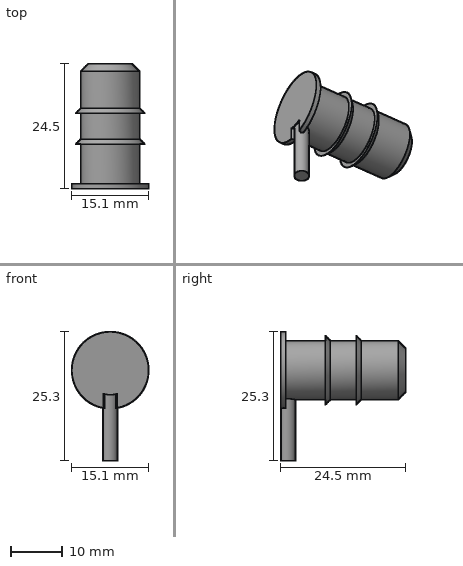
import cadquery as cq

total_length = 24.5
body_radius = 11.6 / 2
tip_chamfer = 1.5

flange_radius = 15.1 / 2
flange_thickness = 1.0

ridge_height = 0.99
ridge_starts = (8.75, 14.78)

pin_radius = 2.9 / 2
pin_axis_y = 1.5
overall_height = 25.3
pin_bottom_z = flange_radius - overall_height

groove_radius = pin_radius
groove_axis_y = -0.38
core_radius = 4.8


def cylinder_along_y(radius, length):
    return cq.Workplane("XZ").circle(radius).extrude(-length)


def vertical_rod(radius, axis_y):
    """Rod from the pin's lower end up to the curved surface of the core."""
    rod = (
        cq.Workplane("XY", origin=(0, axis_y, pin_bottom_z))
        .circle(radius)
        .extrude(-pin_bottom_z)
    )
    core = cq.Workplane("XZ").circle(core_radius).extrude(total_length, both=True)
    return rod.cut(core)


def make_ridge(start_y):
    profile = [
        (0, start_y),
        (body_radius + ridge_height, start_y),
        (body_radius, start_y + ridge_height),
        (0, start_y + ridge_height),
    ]
    return cq.Workplane("XY").polyline(profile).close().revolve(360, (0, 0), (0, 1))


body = cylinder_along_y(body_radius, total_length).faces(">Y").chamfer(tip_chamfer)
plug = body.union(cylinder_along_y(flange_radius, flange_thickness))
for ridge_start in ridge_starts:
    plug = plug.union(make_ridge(ridge_start))

plug = plug.cut(vertical_rod(groove_radius, groove_axis_y))
result = plug.union(vertical_rod(pin_radius, pin_axis_y))